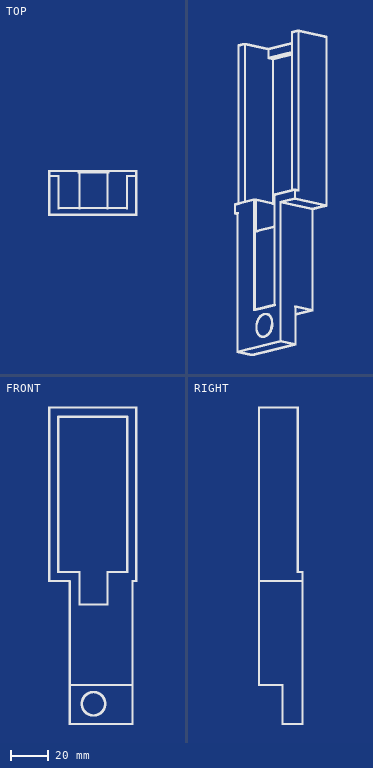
import cadquery as cq

holder_width = 47.0
holder_depth = 23.62
holder_height = 170.56

frame_height = 93.5
wall_thickness = 5.0
base_thickness = 5.0
top_bar_depth = 3.6
rear_setback = 2.62

handle_width = 34.0
handle_left_offset = 11.0

lug_height = 21.0
lug_thickness = 11.0
hole_diameter = 12.5
hole_center_height = 11.0

opening_offset = 0.4

notch_width = 15.0
notch_depth = 17.5

relief_width = 16.0
relief_depth = 0.8

frame_left = -holder_width / 2
frame_bottom = holder_height - frame_height
base_top = frame_bottom + base_thickness
wall_depth = holder_depth - rear_setback
handle_left = frame_left + handle_left_offset


def block(x, y, z, width, depth, height):
    """Box with its left, front, bottom corner at (x, y, z)."""
    return cq.Workplane("XY").box(width, depth, height, centered=False).translate((x, y, z))


def make_frame():
    frame = block(frame_left, 0, frame_bottom, holder_width, holder_depth, base_thickness)
    walls_height = holder_height - base_top
    for wall_left in (frame_left, -frame_left - wall_thickness):
        frame = frame.union(block(wall_left, 0, base_top, wall_thickness, wall_depth, walls_height))
    top_bar_bottom = holder_height - wall_thickness
    return frame.union(block(frame_left, 0, top_bar_bottom, holder_width, top_bar_depth, wall_thickness))


def make_handle():
    handle = block(handle_left, 0, lug_height, handle_width, holder_depth, frame_bottom - lug_height)
    lug = block(handle_left, holder_depth - lug_thickness, 0, handle_width, lug_thickness, lug_height)
    return handle.union(lug)


def make_notch():
    notch_left = opening_offset - notch_width / 2
    notch_floor = base_top - notch_depth
    return block(notch_left, 0, notch_floor, notch_width, holder_depth, notch_depth)


def make_rear_relief():
    relief_left = opening_offset - relief_width / 2
    relief_height = base_top - lug_height
    return block(relief_left, holder_depth - relief_depth, lug_height, relief_width, relief_depth, relief_height)


def make_lug_hole():
    hole = cq.Workplane("XZ").center(opening_offset, hole_center_height).circle(hole_diameter / 2)
    return hole.extrude(-holder_depth)


holder = make_frame().union(make_handle())
result = holder.cut(make_notch()).cut(make_rear_relief()).cut(make_lug_hole()).clean()